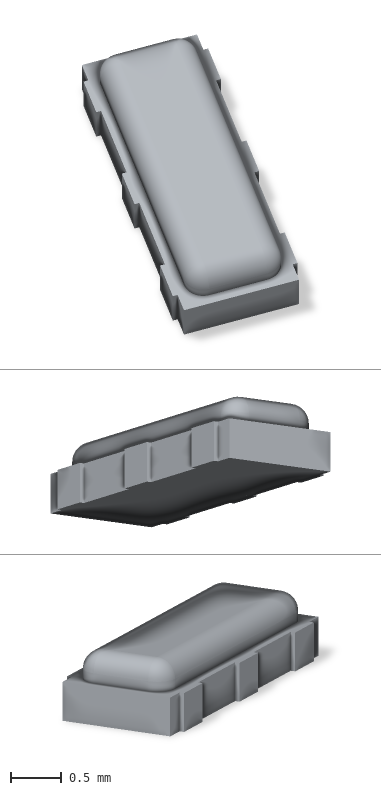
import cadquery as cq

base_length = 3.2
base_width = 1.2
base_height = 0.4

lid_margin = 0.1
lid_length = base_length - 2 * lid_margin
lid_width = base_width - 2 * lid_margin
lid_height = 0.3
lid_radius = 0.2

terminal_width = 0.4
terminal_depth = terminal_width
terminal_pitch = 1.2
terminal_span = 1.3
terminal_y = (terminal_span - terminal_depth) / 2
terminal_positions = [
    (column * terminal_pitch, side * terminal_y)
    for side in (-1, 1)
    for column in (-1, 0, 1)
]


def make_terminal(position):
    """One terminal block standing on the bottom plane at the given XY centre."""
    return (
        cq.Workplane("XY")
        .center(*position)
        .rect(terminal_width, terminal_depth)
        .extrude(base_height)
    )


def make_base(terminals):
    """Base block with a matching notch for every terminal."""
    base = cq.Workplane("XY").rect(base_length, base_width).extrude(base_height)
    for terminal in terminals:
        base = base.cut(terminal)
    return base


def make_lid():
    """Lid with upright corners and top rim rounded to one radius."""
    return (
        cq.Workplane("XY", origin=(0, 0, base_height))
        .rect(lid_length, lid_width)
        .extrude(lid_height)
        .edges("|Z or >Z")
        .fillet(lid_radius)
    )


terminals = [make_terminal(position) for position in terminal_positions]
base = make_base(terminals)
lid = make_lid()

result = cq.Compound.makeCompound(
    [base.solids().val(), lid.solids().val(), *[terminal.val() for terminal in terminals]]
)